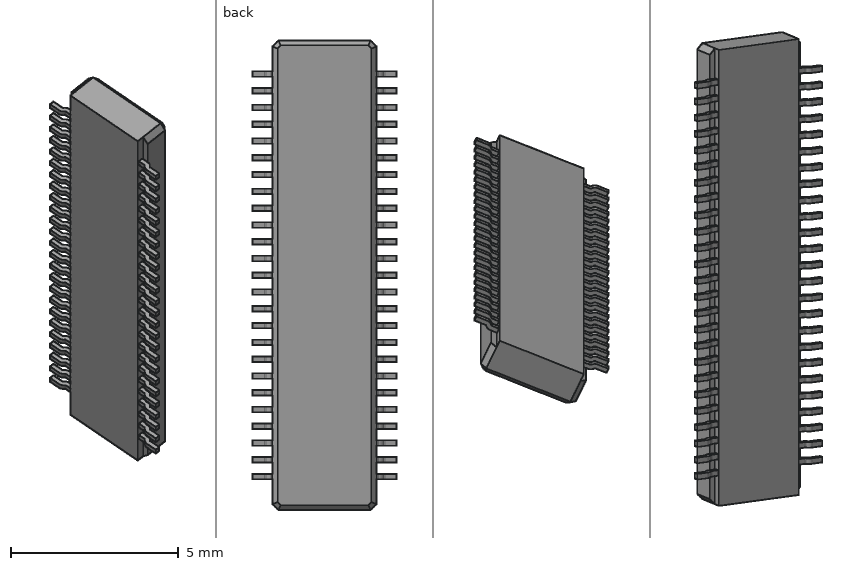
import cadquery as cq
import math

OVERALL_WIDTH = 4.3
OVERALL_DEPTH = 1.2
HOUSING_HEIGHT = 14.0

HOUSING_WIDTH = 3.1
CORNER_CHAMFER = 0.18
BACK_CHAMFER = 0.15
STANDOFF = 0.05
STEP_DEPTH = 0.24

LEADS_PER_SIDE = 25
LEAD_PITCH = 0.5
LEAD_WIDTH = 0.17
LEAD_THICKNESS = 0.15
FOOT_LENGTH = 0.36
BEND_OFFSET = 0.1
BEND_RADIUS = 0.12

lead_front_y = -OVERALL_DEPTH / 2
housing_front_y = lead_front_y + STANDOFF
housing_back_y = OVERALL_DEPTH / 2
core_half_width = HOUSING_WIDTH / 2 - CORNER_CHAMFER
lead_tip_x = OVERALL_WIDTH / 2


def make_housing():
    """Chamfered block with a full-height notch along each front side edge."""
    depth = housing_back_y - housing_front_y
    housing = (
        cq.Workplane("XY")
        .box(HOUSING_WIDTH, depth, HOUSING_HEIGHT)
        .edges("|Y")
        .chamfer(CORNER_CHAMFER)
        .faces(">Y")
        .chamfer(BACK_CHAMFER)
        .translate((0, housing_front_y + depth / 2, 0))
    )
    notch = cq.Workplane("XY").box(
        CORNER_CHAMFER, STEP_DEPTH, HOUSING_HEIGHT, centered=(False, False, True)
    )
    right_notch = notch.translate((core_half_width, housing_front_y, 0))
    return housing.cut(right_notch).cut(right_notch.mirror("YZ"))


def make_lead():
    """Right-hand gull-wing lead: a foot, an S-bend of two arcs and a shoulder."""
    bend_angle = math.acos(1 - BEND_OFFSET / (2 * BEND_RADIUS))
    half_run = BEND_RADIUS * math.sin(bend_angle)
    foot_y = lead_front_y + LEAD_THICKNESS / 2
    shoulder_y = foot_y + BEND_OFFSET
    foot_end_x = lead_tip_x - FOOT_LENGTH
    middle = (foot_end_x - half_run, foot_y + BEND_OFFSET / 2)
    shoulder_end_x = foot_end_x - 2 * half_run
    path = (
        cq.Workplane("XY")
        .moveTo(lead_tip_x, foot_y)
        .lineTo(foot_end_x, foot_y)
        .tangentArcPoint(middle, relative=False)
        .tangentArcPoint((shoulder_end_x, shoulder_y), relative=False)
        .lineTo(core_half_width, shoulder_y)
    )
    return (
        cq.Workplane("YZ", origin=(lead_tip_x, foot_y, 0))
        .rect(LEAD_THICKNESS, LEAD_WIDTH)
        .sweep(path)
    )


def add_leads(housing):
    """Fuse a row of evenly spaced leads onto each side of the housing."""
    right_lead = make_lead().val()
    left_lead = right_lead.mirror("YZ")
    first_z = -LEAD_PITCH * (LEADS_PER_SIDE - 1) / 2
    leads = []
    for index in range(LEADS_PER_SIDE):
        offset = cq.Vector(0, 0, first_z + index * LEAD_PITCH)
        leads.append(right_lead.translate(offset))
        leads.append(left_lead.translate(offset))
    return cq.Workplane(housing.val().fuse(*leads))


result = add_leads(make_housing())